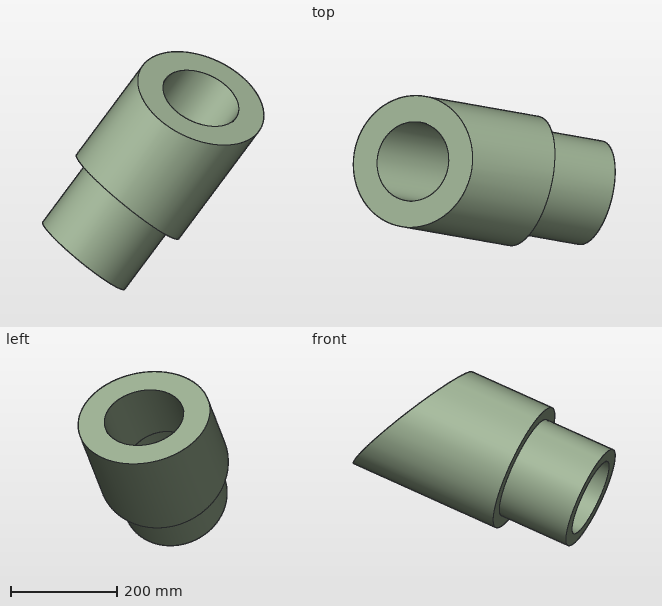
import cadquery as cq
import math

sleeve_diameter = 250.0
spigot_diameter = 200.0
bore_diameter = 150.0

sleeve_length = 232.5
spigot_length = 139.5

axis_heading = -10.0
axis_drop = 23.9
mitre_heading = -10.9
mitre_drop = 52.1
end_heading = -13.3
end_drop = 24.6

trim_allowance = sleeve_diameter
block_size = 4 * sleeve_diameter


def direction(heading, drop):
    """Unit vector with the given heading and drop."""
    turn = math.radians(heading)
    slope = math.radians(drop)
    return cq.Vector(math.cos(slope) * math.cos(turn), math.cos(slope) * math.sin(turn), -math.sin(slope))


axis = direction(axis_heading, axis_drop)
mitre_normal = direction(mitre_heading, mitre_drop)
end_normal = direction(end_heading, end_drop)


def trim_beyond(body, point, normal):
    """Remove everything on the normal's side of the plane through point."""
    waste = cq.Workplane(cq.Plane(origin=point, normal=normal)).rect(block_size, block_size).extrude(block_size)
    return body.cut(waste)


def make_tube(outer_diameter, start, end, start_normal):
    """Bored tube along the axis, its ends trimmed by the start plane and the end plane."""
    raw_tube = (
        cq.Workplane(cq.Plane(origin=axis * (start - trim_allowance), normal=axis))
        .circle(outer_diameter / 2)
        .circle(bore_diameter / 2)
        .extrude(end - start + 2 * trim_allowance)
    )
    trimmed_start = trim_beyond(raw_tube, axis * start, start_normal * -1)
    return trim_beyond(trimmed_start, axis * end, end_normal)


sleeve = make_tube(sleeve_diameter, 0, sleeve_length, mitre_normal)

spigot = make_tube(spigot_diameter, sleeve_length, sleeve_length + spigot_length, end_normal)

result = cq.Compound.makeCompound([sleeve.solids().val(), spigot.solids().val()])